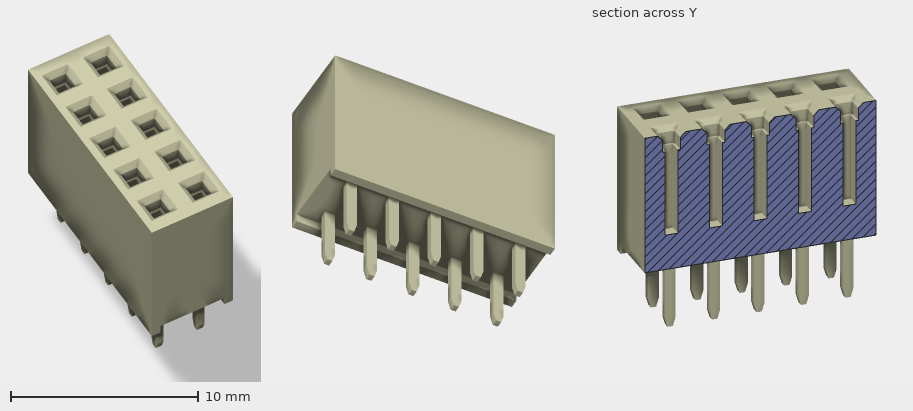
import cadquery as cq

length = 13.2
width = 5.0
body_height = 8.5
overall_height = 11.5
rail_width = 0.53
channel_depth = 0.5

pitch = 2.53
columns = 5
rows = 2

mouth_size = 1.61
well_size = 1.0
well_depth = 1.0
contact_hole_size = 0.71
contact_hole_depth = 5.94
funnel_depth = (mouth_size - well_size) / 2

pin_width = 0.61
pin_thickness = 0.4
pin_tip_width = pin_width / 2
pin_taper_height = 0.5
pin_bottom = body_height - overall_height


def make_housing():
    """Block with a channel along X underneath, leaving a rail on each long side."""
    block = cq.Workplane("XY").box(length, width, body_height, centered=(True, True, False))
    channel_width = width - 2 * rail_width
    channel = cq.Workplane("XY").box(length, channel_width, channel_depth, centered=(True, True, False))
    return block.cut(channel)


def square_hole(size, depth):
    """Square void going down from the top face."""
    return cq.Workplane("XY", origin=(0, 0, body_height)).rect(size, size).extrude(-depth)


def make_socket():
    """Void of one socket: tapered mouth, square well and a smaller hole for the contact."""
    funnel = (
        cq.Workplane("XY", origin=(0, 0, body_height))
        .rect(mouth_size, mouth_size)
        .workplane(offset=-funnel_depth)
        .rect(well_size, well_size)
        .loft(ruled=True)
    )
    well = square_hole(well_size, well_depth)
    contact_hole = square_hole(contact_hole_size, contact_hole_depth)
    return funnel.union(well).union(contact_hole)


def make_pin():
    """Flat pin rooted in the channel roof, narrowing in X at its tip."""
    taper_top = pin_bottom + pin_taper_height
    profile = [
        (-pin_width / 2, channel_depth),
        (-pin_width / 2, taper_top),
        (-pin_tip_width / 2, pin_bottom),
        (pin_tip_width / 2, pin_bottom),
        (pin_width / 2, taper_top),
        (pin_width / 2, channel_depth),
    ]
    return cq.Workplane("XZ").polyline(profile).close().extrude(pin_thickness / 2, both=True)


result = make_housing()
socket = make_socket()
pin = make_pin()
for column in range(columns):
    for row in range(rows):
        x = (column - (columns - 1) / 2) * pitch
        y = (row - (rows - 1) / 2) * pitch
        result = result.cut(socket.translate((x, y, 0)))
        result = result.union(pin.translate((x, y, 0)))